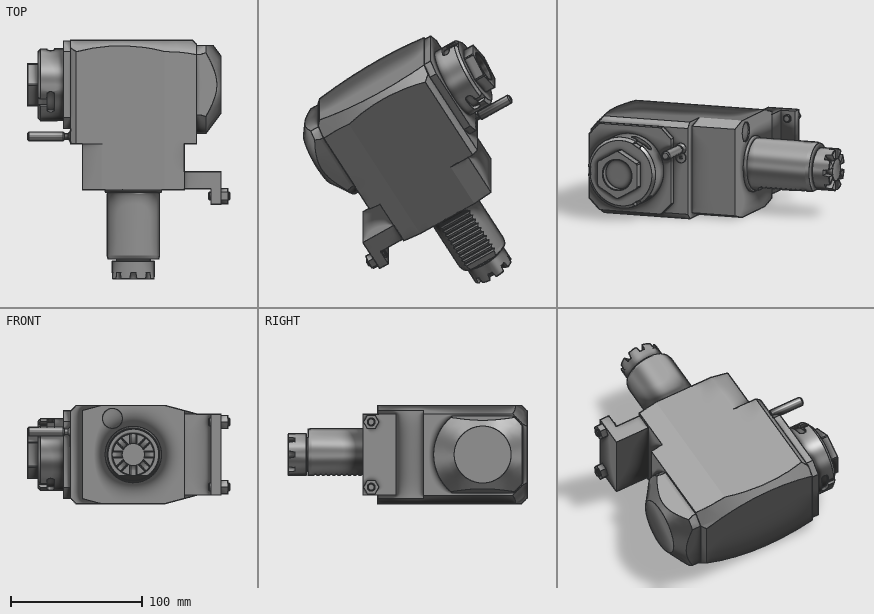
import cadquery as cq
import math


HALF_HEIGHT = 37.5
HOUSING_LEFT = -47.7
HOUSING_RIGHT = 48.2
HOUSING_BACK = 114.0
NECK_LENGTH = 35.0
NECK_HALF_WIDTH = 38.8
SLOPE_START = 24.0
SLOPE_TAN = math.tan(math.radians(15))
LEFT_CHAMFER = 4.2
BACK_CORNER_CHAMFER = 3.3

ARCH_RADIUS = 182.0
ARCH_CENTER_X = -9.5
ARCH_MIN_CHAMFER = 4.4
ARCH_LENGTH = 400.0

RECESS_X = -15.9
RECESS_Z = 27.5
RECESS_RADIUS = 7.6
RECESS_DEPTH = 1.0

SPINDLE_Y = 80.0
PLATE_SIZE = 66.8
PLATE_CHAMFER = 8.3
PLATE_FACE = -53.3

NUT_RADIUS = 27.5
NUT_FACE = -72.7
NUT_CHAMFER = 2.2
NUT_SLOT_ANGLES = (0, 120, 240)
NUT_SLOT_WIDTH = 6.0
NUT_SLOT_DEPTH = 2.7
NUT_SLOT_CENTER_X = -62.9
NUT_SLOT_HALF_ANGLE = 19.0

HEX_FACE = -80.5
HEX_FLATS = 32.3
HEX_CORNER_DIAMETER = 36.6
HEX_BORE_RADIUS = 11.6
HEX_BORE_DEPTH = 6.3
HEX_BORE_CHAMFER = 0.5

TUBE_Y = 40.6
TUBE_Z = 17.4
TUBE_RADIUS = 3.4
TUBE_END_CHAMFER = 1.0
TUBE_INNER_END = -52.4
TUBE_NECK_RADIUS = 2.2
TUBE_NECK_END = -49.6
TUBE_FLARE_RADIUS = 4.2
PLUG_Z = 10.4
PLUG_RADIUS = 4.1
PLUG_HEIGHT = 0.6
PLUG_HOLE_RADIUS = 1.2
PLUG_HOLE_DEPTH = 2.0

CAP_RADIUS = 37.3
CAP_STRAIGHT_END = 55.2
CAP_END = 66.8
CAP_END_RADIUS = 21.7
CAP_FLAT_Y = 110.0
CAP_HALF_HEIGHT = 29.4
CAP_SLOPE_START = 51.0

BRACKET_HALF_HEIGHT = 30.8
BRACKET_BACK = 13.9
BRACKET_FRONT = 0.6
LEG_INNER = 59.1
LEG_FRONT = -11.1
SCREW_Y = -4.8
SCREW_Z = 24.8
SCREW_RADIUS = 3.0
SCREW_LEFT = 57.3
SCREW_RIGHT = 73.5
SCREW_CHAMFER = 0.7
SCREW_NUT_FLATS = 10.2
SCREW_NUT_END = 71.9

COLLAR_RADIUS = 21.5
COLLAR_LENGTH = 2.2
COLLAR_FILLET = 1.2
SHANK_RADIUS = 20.0
SHOULDER_RADIUS = 19.7
SHOULDER_END = -3.4
SHANK_END = -52.9
SHANK_CHAMFER_LENGTH = 2.8
SHANK_CHAMFER_DEPTH = 0.7

FLAT_Z = -15.9
FLAT_START = -9.3
TOOTH_DEPTH = 1.1
TOOTH_PITCH = 4.0
TOOTH_HALF_WIDTH = 1.3
FIRST_VALLEY = -11.3
VALLEY_COUNT = 10

COLLET_NECK_RADIUS = 13.0
COLLET_RADIUS = 16.1
COLLET_START = -54.1
COLLET_END = -68.0
COLLET_SLOT_COUNT = 8
COLLET_SLOT_MOUTH = 5.6
COLLET_SLOT_FLOOR = 3.8
COLLET_SLOT_DEPTH = 5.0
COLLET_CORE_RADIUS = 8.5
COLLET_EDGE_CHAMFER = 0.4


def cylinder_x(x_start, x_end, radius, y, z):
    """Cylinder along X."""
    axis = cq.Workplane("YZ", origin=(x_start, y, z))
    return axis.circle(radius).extrude(x_end - x_start)


def cylinder_y(y_start, y_end, radius, x=0.0, z=0.0):
    """Cylinder along Y."""
    axis = cq.Workplane("XZ", origin=(x, y_start, z))
    return axis.circle(radius).extrude(y_start - y_end)


def hexagon_x(x_start, x_end, flats, y, z, turn):
    """Hexagonal prism along X; turn rotates its corners away from the Y direction."""
    corner_diameter = flats / math.cos(math.pi / 6)
    prism = cq.Workplane("YZ").polygon(6, corner_diameter).extrude(x_end - x_start)
    return prism.rotate((0, 0, 0), (1, 0, 0), turn).translate((x_start, y, z))


def box_between(x_range, y_range, z_range):
    """Box given by its limits on each axis."""
    size = [high - low for low, high in (x_range, y_range, z_range)]
    corner = (x_range[0], y_range[0], z_range[0])
    return cq.Workplane("XY").box(*size, centered=False).translate(corner)


def revolve_x(profile, y, z):
    """Solid of revolution about an X-parallel axis from (x, radius) points."""
    outline = cq.Workplane("XY").polyline(profile).close()
    return outline.revolve(360, (0, 0, 0), (1, 0, 0)).translate((0, y, z))


def symmetric_prism(upper_outline, y_start, y_end):
    """Prism along Y from the upper half of an XZ outline mirrored about Z = 0."""
    lower_outline = [(x, -z) for x, z in reversed(upper_outline)]
    outline = cq.Workplane("XZ", origin=(0, y_start, 0))
    return outline.polyline(upper_outline + lower_outline).close().extrude(y_start - y_end)


def sloped_height(x):
    """Half height of the housing on its sloped right-hand part."""
    return HALF_HEIGHT - (x - SLOPE_START) * SLOPE_TAN


def arch_cylinder(side):
    """Tilted cylinder bounding the back edge at the top (side 1) or bottom (side -1)."""
    crest = (HOUSING_BACK + HALF_HEIGHT - ARCH_MIN_CHAMFER) / math.sqrt(2)
    offset = (crest - ARCH_RADIUS) / math.sqrt(2)
    plane = cq.Plane(
        origin=(ARCH_CENTER_X, offset, side * offset),
        xDir=(1, 0, 0),
        normal=(0, 1, -side),
    )
    return cq.Workplane(plane).circle(ARCH_RADIUS).extrude(ARCH_LENGTH / 2, both=True)


def make_housing():
    head_outline = [
        (HOUSING_LEFT, HALF_HEIGHT - LEFT_CHAMFER),
        (HOUSING_LEFT + LEFT_CHAMFER, HALF_HEIGHT),
        (SLOPE_START, HALF_HEIGHT),
        (HOUSING_RIGHT, sloped_height(HOUSING_RIGHT)),
    ]
    neck_outline = [
        (-NECK_HALF_WIDTH, sloped_height(NECK_HALF_WIDTH)),
        (-SLOPE_START, HALF_HEIGHT),
        (SLOPE_START, HALF_HEIGHT),
        (NECK_HALF_WIDTH, sloped_height(NECK_HALF_WIDTH)),
    ]
    head = symmetric_prism(head_outline, NECK_LENGTH, HOUSING_BACK)
    head = head.edges(">Y and >X").chamfer(BACK_CORNER_CHAMFER)
    for side in (1, -1):
        head = head.intersect(arch_cylinder(side))
    housing = head.union(symmetric_prism(neck_outline, 0, NECK_LENGTH))
    return housing.cut(cylinder_y(RECESS_DEPTH, 0, RECESS_RADIUS, RECESS_X, RECESS_Z))


def make_flange_plate():
    plate = cq.Workplane("YZ", origin=(PLATE_FACE, SPINDLE_Y, 0)).rect(PLATE_SIZE, PLATE_SIZE)
    plate = plate.extrude(HOUSING_LEFT - PLATE_FACE)
    return plate.edges("|X").chamfer(PLATE_CHAMFER)


def nut_slot():
    """T-shaped wrench slot on the +Y side of the spindle nut, centred on the X axis."""
    floor_radius = NUT_RADIUS - NUT_SLOT_DEPTH
    half_width = NUT_SLOT_WIDTH / 2
    ring = cylinder_x(
        NUT_SLOT_CENTER_X - half_width, NUT_SLOT_CENTER_X + half_width, 2 * NUT_RADIUS, 0, 0
    )
    ring = ring.cut(cylinder_x(NUT_FACE, PLATE_FACE, floor_radius, 0, 0))
    span = 2 * NUT_RADIUS * math.sin(math.radians(NUT_SLOT_HALF_ANGLE))
    outline = cq.Workplane("XZ", origin=(NUT_SLOT_CENTER_X, 0, 0)).slot2D(span, NUT_SLOT_WIDTH, 90)
    arc_slot = ring.intersect(outline.extrude(-2 * NUT_RADIUS))
    entry = box_between(
        (NUT_FACE, NUT_SLOT_CENTER_X), (floor_radius, 2 * NUT_RADIUS), (-half_width, half_width)
    )
    return arc_slot.union(entry)


def make_spindle_nut():
    nut = cylinder_x(NUT_FACE, PLATE_FACE, NUT_RADIUS, 0, 0).faces("<X").chamfer(NUT_CHAMFER)
    slot = nut_slot()
    for angle in NUT_SLOT_ANGLES:
        nut = nut.cut(slot.rotate((0, 0, 0), (1, 0, 0), angle))
    return nut.translate((0, SPINDLE_Y, 0))


def make_spindle_hexagon():
    hexagon = hexagon_x(HEX_FACE, NUT_FACE, HEX_FLATS, SPINDLE_Y, 0, 30)
    hexagon = hexagon.intersect(
        cylinder_x(HEX_FACE, NUT_FACE, HEX_CORNER_DIAMETER / 2, SPINDLE_Y, 0)
    )
    floor = HEX_FACE + HEX_BORE_DEPTH
    bore_profile = [
        (HEX_FACE, 0),
        (HEX_FACE, HEX_BORE_RADIUS + HEX_BORE_CHAMFER),
        (HEX_FACE + HEX_BORE_CHAMFER, HEX_BORE_RADIUS),
        (floor, HEX_BORE_RADIUS),
        (floor, 0),
    ]
    return hexagon.cut(revolve_x(bore_profile, SPINDLE_Y, 0))


def make_coolant_tube():
    profile = [
        (HEX_FACE, 0),
        (HEX_FACE, TUBE_RADIUS - TUBE_END_CHAMFER),
        (HEX_FACE + TUBE_END_CHAMFER, TUBE_RADIUS),
        (TUBE_INNER_END - TUBE_END_CHAMFER, TUBE_RADIUS),
        (TUBE_INNER_END, TUBE_RADIUS - TUBE_END_CHAMFER),
        (TUBE_INNER_END, TUBE_NECK_RADIUS),
        (TUBE_NECK_END, TUBE_NECK_RADIUS),
        (HOUSING_LEFT, TUBE_FLARE_RADIUS),
        (HOUSING_LEFT, 0),
    ]
    return revolve_x(profile, TUBE_Y, TUBE_Z)


def make_plug():
    face = HOUSING_LEFT - PLUG_HEIGHT
    return cylinder_x(face, HOUSING_LEFT, PLUG_RADIUS, TUBE_Y, PLUG_Z)


def plug_hole():
    face = HOUSING_LEFT - PLUG_HEIGHT
    return cylinder_x(face, face + PLUG_HOLE_DEPTH, PLUG_HOLE_RADIUS, TUBE_Y, PLUG_Z)


def make_end_cap():
    profile = [
        (HOUSING_RIGHT, 0),
        (HOUSING_RIGHT, CAP_RADIUS),
        (CAP_STRAIGHT_END, CAP_RADIUS),
        (CAP_END, CAP_END_RADIUS),
        (CAP_END, 0),
    ]
    limits = [
        (HOUSING_RIGHT, CAP_HALF_HEIGHT),
        (CAP_SLOPE_START, CAP_HALF_HEIGHT),
        (CAP_END, CAP_HALF_HEIGHT - (CAP_END - CAP_SLOPE_START) * SLOPE_TAN),
    ]
    cap = revolve_x(profile, SPINDLE_Y, 0)
    return cap.intersect(symmetric_prism(limits, SPINDLE_Y - CAP_RADIUS, CAP_FLAT_Y))


def make_bracket():
    z_range = (-BRACKET_HALF_HEIGHT, BRACKET_HALF_HEIGHT)
    arm = box_between((NECK_HALF_WIDTH, CAP_END), (BRACKET_FRONT, BRACKET_BACK), z_range)
    leg = box_between((LEG_INNER, CAP_END), (LEG_FRONT, BRACKET_BACK), z_range)
    bracket = arm.union(leg)
    for z in (SCREW_Z, -SCREW_Z):
        screw = cylinder_x(SCREW_LEFT, SCREW_RIGHT, SCREW_RADIUS, SCREW_Y, z)
        screw = screw.faces("<X or >X").chamfer(SCREW_CHAMFER)
        nut = hexagon_x(CAP_END, SCREW_NUT_END, SCREW_NUT_FLATS, SCREW_Y, z, 0)
        bracket = bracket.union(screw).union(nut)
    return bracket


def clamping_flat():
    """Material removed below the shank: a flat with a 45 degree run-in and V valleys."""
    bottom = FLAT_Z - SHANK_RADIUS
    outline = [(SHANK_END, bottom), (SHANK_END, FLAT_Z)]
    for index in reversed(range(VALLEY_COUNT)):
        y = FIRST_VALLEY - index * TOOTH_PITCH
        outline.append((y - TOOTH_HALF_WIDTH, FLAT_Z))
        outline.append((y, FLAT_Z + TOOTH_DEPTH))
        outline.append((y + TOOTH_HALF_WIDTH, FLAT_Z))
    run_in_depth = SHANK_RADIUS + FLAT_Z
    outline.append((FLAT_START, FLAT_Z))
    outline.append((FLAT_START + run_in_depth, -SHANK_RADIUS))
    outline.append((FLAT_START + run_in_depth, bottom))
    return cq.Workplane("YZ").polyline(outline).close().extrude(SHANK_RADIUS, both=True)


def make_shank():
    collar = cylinder_y(0, -COLLAR_LENGTH, COLLAR_RADIUS).faces("<Y").edges().fillet(COLLAR_FILLET)
    profile = [
        (0, 0),
        (SHOULDER_RADIUS, 0),
        (SHOULDER_RADIUS, -COLLAR_LENGTH),
        (SHANK_RADIUS, SHOULDER_END),
        (SHANK_RADIUS, SHANK_END + SHANK_CHAMFER_LENGTH),
        (SHANK_RADIUS - SHANK_CHAMFER_DEPTH, SHANK_END),
        (0, SHANK_END),
    ]
    shank = cq.Workplane("XY").polyline(profile).close().revolve(360, (0, 0, 0), (0, 1, 0))
    return shank.cut(clamping_flat()).union(collar)


def make_collet_nut():
    nut = cylinder_y(COLLET_START, COLLET_END, COLLET_RADIUS)
    nut = nut.faces("<Y or >Y").chamfer(COLLET_EDGE_CHAMFER)
    slot_floor = COLLET_END + COLLET_SLOT_DEPTH
    slot_outline = [
        (COLLET_END, -COLLET_SLOT_MOUTH / 2),
        (slot_floor, -COLLET_SLOT_FLOOR / 2),
        (slot_floor, COLLET_SLOT_FLOOR / 2),
        (COLLET_END, COLLET_SLOT_MOUTH / 2),
    ]
    slot = cq.Workplane("YZ").polyline(slot_outline).close().extrude(2 * COLLET_RADIUS)
    for index in range(COLLET_SLOT_COUNT):
        nut = nut.cut(slot.rotate((0, 0, 0), (0, 1, 0), index * 360 / COLLET_SLOT_COUNT))
    core = cylinder_y(COLLET_START, COLLET_END, COLLET_CORE_RADIUS)
    neck = cylinder_y(SHANK_END, COLLET_START, COLLET_NECK_RADIUS)
    return nut.union(core).union(neck)


result = make_housing()
for component in (
    make_flange_plate(),
    make_spindle_nut(),
    make_spindle_hexagon(),
    make_coolant_tube(),
    make_plug(),
    make_end_cap(),
    make_bracket(),
    make_shank(),
    make_collet_nut(),
):
    result = result.union(component)
result = result.cut(plug_hole())